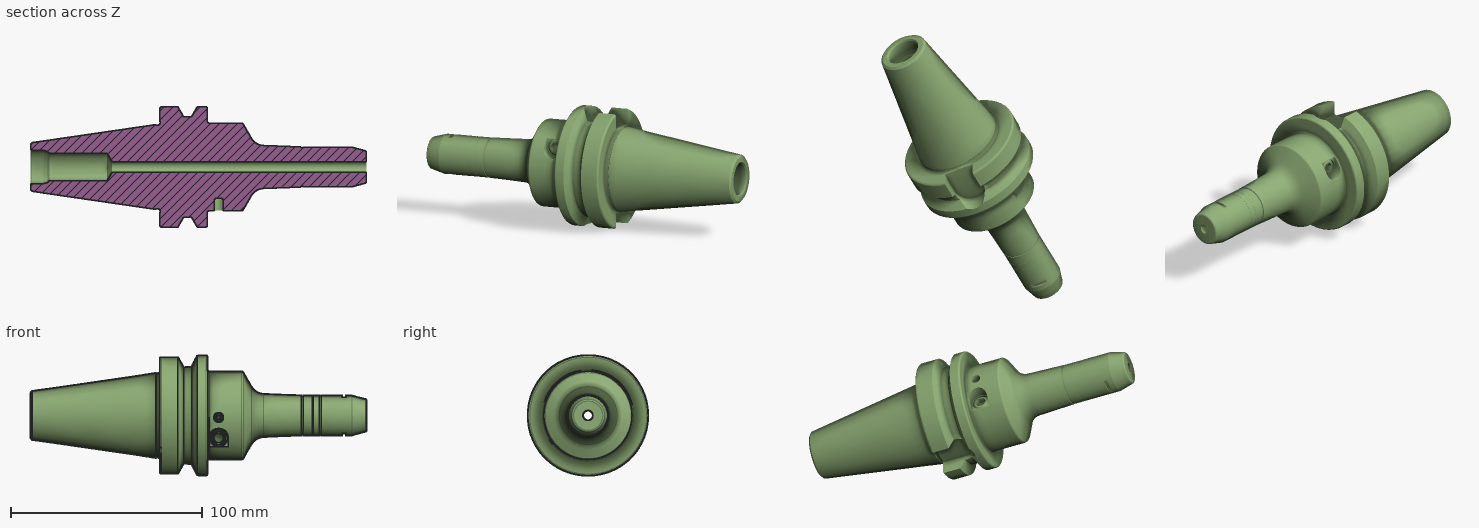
import cadquery as cq
import math


GAUGE_DIAMETER = 44.45
TAPER_RATIO = 7 / 24
TAPER_LENGTH = 65.4
NOSE_CHAMFER = 1.0
RELIEF_DIAMETER = 43.8
RELIEF_STEP = 0.3
ROOT_FILLET = 1.2

FLANGE_DIAMETER = 63.0
FLANGE_START = 2.0
FLANGE_END = 27.0
FLANGE_FILLET = 1.0
FACE_RECESS_DIAMETER = 47.6
FACE_RECESS_DEPTH = 0.2
GROOVE_CENTRE = 16.6
GROOVE_MOUTH_WIDTH = 10.0
GROOVE_FLOOR_DIAMETER = 53.0
GROOVE_WALL_ANGLE = 60.0
KEYWAY_WIDTH = 16.1
KEYWAY_FLOOR_HEIGHT = 22.5
KEYWAY_ARC_CENTRE = 14.9

COLLAR_DIAMETER = 46.0
COLLAR_ROOT_FILLET = 0.8
CONE_START = 45.35
CONE_ANGLE = 60.0
SHOULDER_FILLET = 1.15
NECK_FILLET = 7.6
NECK_ROOT_DIAMETER = 23.0
NECK_END_DIAMETER = 21.2
NECK_END = 75.8

BARREL_DIAMETER = 21.0
BARREL_END = 110.0
TIP_TAPER_START = 102.1
TIP_TAPER_ANGLE = 15.0
TIP_FILLET = 1.0
RELIEF_GROOVE_WIDTH = 1.0
RELIEF_GROOVE_DEPTH = 0.4
MARK_GROOVES = ((81.7, 0.5), (85.3, 1.0))
MARK_GROOVE_DEPTH = 0.1
FLAT_START = 97.2
FLAT_WIDTH = 2.0
FLAT_HEIGHT = 9.5

MOUTH_DIAMETER = 18.0
MOUTH_CHAMFER_LENGTH = 0.9
COUNTERBORE_DIAMETER = 17.0
COUNTERBORE_DEPTH = 7.0
THREAD_START_DEPTH = 9.0
THREAD_MOUTH_DIAMETER = 16.0
THREAD_BORE_DIAMETER = 14.0
THREAD_BORE_DEPTH = 40.0
DRILL_POINT_ANGLE = 118.0
THROUGH_DIAMETER = 5.0

POCKET_X = 32.8
POCKET_AXIS_HEIGHT = 11.8
POCKET_DIAMETER = 10.0
POCKET_FLOOR = 16.1
SCREW_DIAMETER = 9.0
SCREW_FLAT_DIAMETER = 7.0
SCREW_CHAMFER_DEPTH = 1.0
SOCKET_ACROSS_FLATS = 5.0
SOCKET_DEPTH = 3.0
BLEED_HEIGHT = -1.05
BLEED_DIAMETER = 5.0
BLEED_DEPTH = 6.0
BLEED_SCREW_DIAMETER = 4.0
BLEED_SCREW_RECESS = 0.5
BLEED_SOCKET_ACROSS_FLATS = 2.0
BLEED_SOCKET_DEPTH = 2.0


def rounded_corner(before, corner, after, radius):
    """Return start, middle and end of the arc that rounds a corner of an outline."""
    corner_vec = cq.Vector(*corner)
    to_before = (cq.Vector(*before) - corner_vec).normalized()
    to_after = (cq.Vector(*after) - corner_vec).normalized()
    half_angle = to_before.getAngle(to_after) / 2
    setback = radius / math.tan(half_angle)
    bisector = (to_before + to_after).normalized()
    middle = corner_vec + bisector * (radius / math.sin(half_angle) - radius)
    ends = (corner_vec + to_before * setback, corner_vec + to_after * setback)
    return tuple((point.x, point.y) for point in (ends[0], middle, ends[1]))


def revolved(corners):
    """Revolve about X an outline of (x, radius, corner rounding) entries."""
    outline = cq.Workplane("XY").moveTo(*corners[0][:2])
    for index in range(1, len(corners)):
        x, radius, rounding = corners[index]
        if rounding:
            before = corners[index - 1][:2]
            after = corners[index + 1][:2]
            start, middle, end = rounded_corner(before, (x, radius), after, rounding)
            outline = outline.lineTo(*start).threePointArc(middle, end)
        else:
            outline = outline.lineTo(x, radius)
    return outline.close().revolve(360, (0, 0, 0), (1, 0, 0))


def turned_body():
    """Taper shank, flange, collar, neck and barrel, all turned about X."""
    def taper_radius(x):
        return (GAUGE_DIAMETER + x * TAPER_RATIO) / 2

    nose = -TAPER_LENGTH
    relief_radius = RELIEF_DIAMETER / 2
    recess_radius = FACE_RECESS_DIAMETER / 2
    recess_floor = FLANGE_START + FACE_RECESS_DEPTH
    flange_radius = FLANGE_DIAMETER / 2
    groove_radius = GROOVE_FLOOR_DIAMETER / 2
    wall_run = (flange_radius - groove_radius) / math.tan(math.radians(GROOVE_WALL_ANGLE))
    groove_start = GROOVE_CENTRE - GROOVE_MOUTH_WIDTH / 2
    groove_end = GROOVE_CENTRE + GROOVE_MOUTH_WIDTH / 2
    collar_radius = COLLAR_DIAMETER / 2
    neck_root_radius = NECK_ROOT_DIAMETER / 2
    cone_run = (collar_radius - neck_root_radius) / math.tan(math.radians(CONE_ANGLE))
    barrel_radius = BARREL_DIAMETER / 2
    tip_drop = (BARREL_END - TIP_TAPER_START) * math.tan(math.radians(TIP_TAPER_ANGLE))
    tip_radius = barrel_radius - tip_drop
    return revolved([
        (nose, 0, 0),
        (nose, taper_radius(nose) - NOSE_CHAMFER, 0),
        (nose + NOSE_CHAMFER, taper_radius(nose + NOSE_CHAMFER), 0),
        (0, taper_radius(0), 0),
        (RELIEF_STEP, relief_radius, 0),
        (recess_floor, relief_radius, ROOT_FILLET),
        (recess_floor, recess_radius, 0),
        (FLANGE_START, recess_radius, 0),
        (FLANGE_START, flange_radius, FLANGE_FILLET),
        (groove_start, flange_radius, 0),
        (groove_start + wall_run, groove_radius, 0),
        (groove_end - wall_run, groove_radius, 0),
        (groove_end, flange_radius, 0),
        (FLANGE_END, flange_radius, FLANGE_FILLET),
        (FLANGE_END, collar_radius, COLLAR_ROOT_FILLET),
        (CONE_START, collar_radius, SHOULDER_FILLET),
        (CONE_START + cone_run, neck_root_radius, NECK_FILLET),
        (NECK_END, NECK_END_DIAMETER / 2, 0),
        (NECK_END, barrel_radius, 0),
        (TIP_TAPER_START, barrel_radius, 0),
        (BARREL_END, tip_radius, TIP_FILLET),
        (BARREL_END, 0, 0),
    ])


def ring_groove(start, width, depth):
    """Ring that cuts a groove of the given depth around the barrel."""
    outer = cq.Workplane("YZ", origin=(start, 0, 0)).circle(BARREL_DIAMETER)
    return outer.circle(BARREL_DIAMETER / 2 - depth).extrude(width)


def keyway():
    """Round-ended drive slot on the +Z side, open toward the taper."""
    height = FLANGE_DIAMETER / 2
    floor = cq.Workplane("XY", origin=(0, 0, KEYWAY_FLOOR_HEIGHT))
    slot = floor.rect(2 * KEYWAY_ARC_CENTRE, KEYWAY_WIDTH).extrude(height)
    return slot.union(floor.center(KEYWAY_ARC_CENTRE, 0).circle(KEYWAY_WIDTH / 2).extrude(height))


def barrel_flat():
    """Narrow flat across the +Z side of the barrel."""
    corner = (FLAT_START, -BARREL_DIAMETER / 2, FLAT_HEIGHT)
    return cq.Workplane("XY").box(FLAT_WIDTH, BARREL_DIAMETER, BARREL_DIAMETER, False).translate(corner)


def drawbar_bore():
    """Stepped bore from the nose, with a through hole running on to the barrel end."""
    nose = -TAPER_LENGTH
    mouth_radius = MOUTH_DIAMETER / 2
    counterbore_radius = COUNTERBORE_DIAMETER / 2
    thread_mouth_radius = THREAD_MOUTH_DIAMETER / 2
    thread_radius = THREAD_BORE_DIAMETER / 2
    thread_start = nose + THREAD_START_DEPTH
    thread_end = nose + THREAD_BORE_DEPTH
    through_radius = THROUGH_DIAMETER / 2
    point_length = (thread_radius - through_radius) / math.tan(math.radians(DRILL_POINT_ANGLE / 2))
    return revolved([
        (nose, 0, 0),
        (nose, mouth_radius, 0),
        (nose + MOUTH_CHAMFER_LENGTH, counterbore_radius, 0),
        (nose + COUNTERBORE_DEPTH, counterbore_radius, 0),
        (thread_start, thread_mouth_radius, 0),
        (thread_start + thread_mouth_radius - thread_radius, thread_radius, 0),
        (thread_end, thread_radius, 0),
        (thread_end + point_length, through_radius, 0),
        (BARREL_END, through_radius, 0),
        (BARREL_END, 0, 0),
    ])


def front_plane(y, z):
    """Sketch plane at the given Y whose normal points into the part along +Y."""
    return cq.Workplane(cq.Plane((POCKET_X, y, z), (1, 0, 0), (0, 1, 0)))


def hexagon_socket(face, across_flats, depth):
    """Hexagonal socket ending in the cone of its pilot drill."""
    hexagon = face.polygon(6, across_flats / math.cos(math.pi / 6)).extrude(depth)
    point_length = across_flats / 2 / math.tan(math.radians(DRILL_POINT_ANGLE / 2))
    plane = face.workplane(offset=depth).plane
    point = cq.Solid.makeCone(across_flats / 2, 0, point_length, plane.origin, plane.zDir)
    return hexagon.union(cq.Workplane(point))


def screw_pocket():
    """Pocket on the -Y, -Z side, with the screw head and its hexagon socket in the floor."""
    outside = COLLAR_DIAMETER / 2
    floor = front_plane(-POCKET_FLOOR, -POCKET_AXIS_HEIGHT)
    reach = POCKET_FLOOR - outside
    pocket = floor.circle(POCKET_DIAMETER / 2).extrude(reach)
    pocket = pocket.union(floor.center(0, outside / 2).rect(POCKET_DIAMETER, outside).extrude(reach))
    head = floor.workplane(offset=SCREW_CHAMFER_DEPTH).circle(SCREW_DIAMETER / 2)
    head = head.workplane(offset=-SCREW_CHAMFER_DEPTH).circle(SCREW_FLAT_DIAMETER / 2).loft()
    recess = floor.circle(SCREW_DIAMETER / 2).extrude(SCREW_CHAMFER_DEPTH).cut(head)
    socket = hexagon_socket(floor, SOCKET_ACROSS_FLATS, SOCKET_DEPTH)
    return pocket.union(recess).union(socket)


def bleed_hole():
    """Hole along Y on the -Y side, with a small socket screw at its bottom."""
    mouth = front_plane(-COLLAR_DIAMETER / 2, BLEED_HEIGHT)
    hole = mouth.circle(BLEED_DIAMETER / 2).extrude(BLEED_DEPTH)
    seat = mouth.workplane(offset=BLEED_DEPTH)
    recess = seat.circle(BLEED_SCREW_DIAMETER / 2).extrude(BLEED_SCREW_RECESS)
    screw_face = seat.workplane(offset=BLEED_SCREW_RECESS)
    socket = hexagon_socket(screw_face, BLEED_SOCKET_ACROSS_FLATS, BLEED_SOCKET_DEPTH)
    return hole.union(recess).union(socket)


def half_turn(feature):
    """The same feature on the opposite side of the spindle axis."""
    return feature.rotate((0, 0, 0), (1, 0, 0), 180)


result = turned_body()
result = result.cut(ring_groove(NECK_END, RELIEF_GROOVE_WIDTH, RELIEF_GROOVE_DEPTH))
for mark_start, mark_width in MARK_GROOVES:
    result = result.cut(ring_groove(mark_start, mark_width, MARK_GROOVE_DEPTH))
for feature in (keyway(), barrel_flat(), screw_pocket()):
    result = result.cut(feature).cut(half_turn(feature))
result = result.cut(drawbar_bore()).cut(bleed_hole())